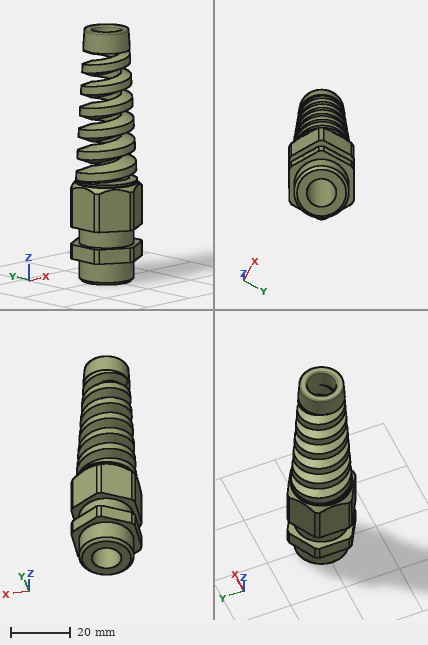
import cadquery as cq
import math

total_height = 87.0
bore_diameter = 10.0

stub_diameter = 18.6
stub_chamfer = 1.0

hexagon_sides = 6
across_flats = 22.0
across_corners = 24.5
flange_bottom = 8.0
flange_top = 13.0
nut_bottom = 19.0
nut_top = 34.0
nut_top_diameter = 21.0

collar_diameter = 20.8
collar_top = 35.0
undercut_diameter = 20.4
undercut_top = 34.25

head_bottom = 80.0
head_bottom_diameter = 15.9
head_top_diameter = 15.0
head_edge_radius = 0.4
bore_mouth_radius = 0.5

coil_pitch = 7.46
coil_bottom_radius = 10.35
coil_top_radius = 7.85
crest_width = 2.8
flank_slope = 0.38
ridge_depth = 5.9
crest_height_at_x = 40.75
lead_in_turns = 2

bore_radius = bore_diameter / 2


def revolved(outline):
    """Solid made by turning a closed radius-height outline about the Z axis."""
    return outline.revolve(360, (0, 0, 0), (0, 1, 0))


def hexagon(bottom, top):
    """Hexagonal prism with its corners turned down to the across-corners diameter."""
    height = top - bottom
    half_side_angle = 180 / hexagon_sides
    sharp_corners = across_flats / math.cos(math.radians(half_side_angle))
    prism = cq.Workplane("XY").polygon(hexagon_sides, sharp_corners).extrude(height)
    prism = prism.rotate((0, 0, 0), (0, 0, 1), half_side_angle)
    turned = cq.Workplane("XY").circle(across_corners / 2).extrude(height)
    return prism.intersect(turned).translate((0, 0, bottom))


def nut():
    """Upper hexagon whose top corners are bevelled by a 45 degree cone."""
    corner_radius = across_corners / 2
    bevel = corner_radius - nut_top_diameter / 2
    blank = (
        cq.Workplane("XY")
        .workplane(offset=nut_bottom)
        .circle(corner_radius)
        .extrude(nut_top - nut_bottom)
        .faces(">Z")
        .chamfer(bevel)
    )
    return hexagon(nut_bottom, nut_top).intersect(blank)


def turned_core():
    """Plain stub, neck and collar as one turned body."""
    stub_radius = stub_diameter / 2
    undercut_radius = undercut_diameter / 2
    collar_radius = collar_diameter / 2
    outline = [
        (0, 0),
        (stub_radius - stub_chamfer, 0),
        (stub_radius, stub_chamfer),
        (stub_radius, nut_top),
        (undercut_radius, nut_top),
        (undercut_radius, undercut_top),
        (collar_radius, undercut_top),
        (collar_radius, collar_top),
        (0, collar_top),
    ]
    return revolved(cq.Workplane("XZ").polyline(outline).close())


def head():
    """Slightly conical head with a rounded top edge."""
    outline = [
        (0, head_bottom),
        (head_bottom_diameter / 2, head_bottom),
        (head_top_diameter / 2, total_height),
        (0, total_height),
    ]
    body = revolved(cq.Workplane("XZ").polyline(outline).close())
    return body.faces(">Z").edges().fillet(head_edge_radius)


def coil():
    """Tapered helical ridge, trimmed flat by the collar and by the head."""
    coil_height = head_bottom - collar_top
    taper = (coil_bottom_radius - coil_top_radius) / coil_height
    start_z = crest_height_at_x - lead_in_turns * coil_pitch
    start_radius = coil_bottom_radius + taper * (collar_top - start_z)
    sweep_height = coil_pitch * math.ceil((head_bottom - start_z) / coil_pitch + 1)
    taper_angle = math.degrees(math.atan(taper))
    half_crest = crest_width / 2
    half_root = half_crest + flank_slope * ridge_depth
    crest_lean = taper * half_crest
    section = [
        (start_radius + crest_lean, -half_crest),
        (start_radius - crest_lean, half_crest),
        (start_radius - ridge_depth, half_root),
        (start_radius - ridge_depth, -half_root),
    ]
    path = cq.Wire.makeHelix(coil_pitch, sweep_height, start_radius, angle=-taper_angle)
    ridge = cq.Workplane("XZ").polyline(section).close().sweep(cq.Workplane(path), isFrenet=True)
    ridge = ridge.translate((0, 0, start_z))
    span = cq.Workplane("XY").workplane(offset=collar_top).circle(across_flats).extrude(coil_height)
    return ridge.intersect(span)


def bore():
    """Through bore with a rounded mouth at the head."""
    mouth_radius = bore_radius + bore_mouth_radius
    mouth_bottom = total_height - bore_mouth_radius
    arc_offset = bore_mouth_radius * math.sin(math.pi / 4)
    arc_middle = (mouth_radius - arc_offset, mouth_bottom + arc_offset)
    outline = (
        cq.Workplane("XZ")
        .lineTo(bore_radius, 0)
        .lineTo(bore_radius, mouth_bottom)
        .threePointArc(arc_middle, (mouth_radius, total_height))
        .lineTo(0, total_height)
        .close()
    )
    return revolved(outline)


solid_body = turned_core().union(hexagon(flange_bottom, flange_top)).union(nut())
hollow = bore()
result = solid_body.cut(hollow).union(coil().cut(hollow)).union(head().cut(hollow))